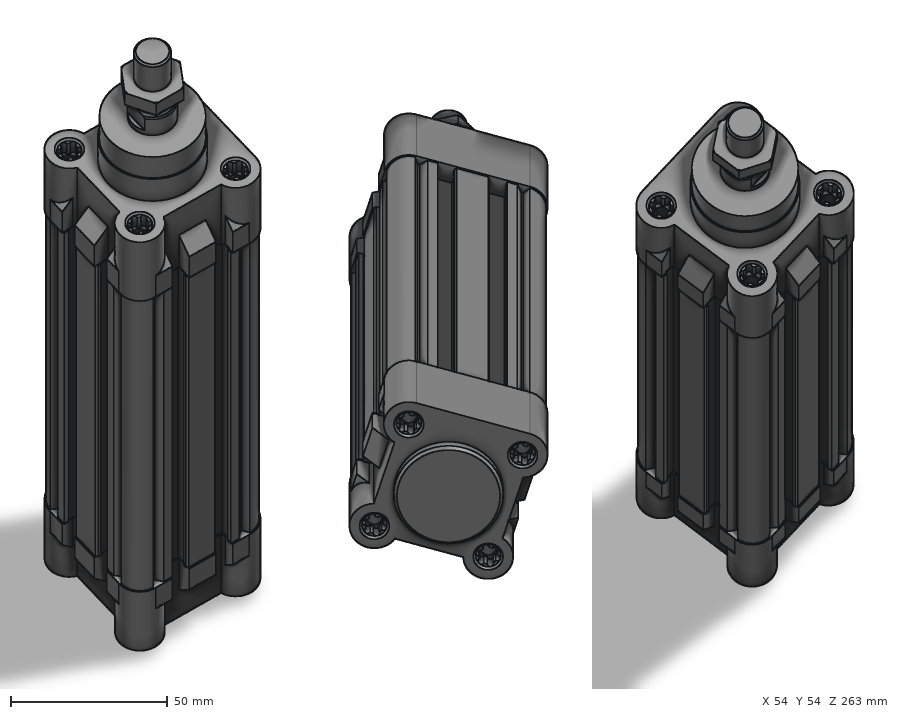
import cadquery as cq
import math


overall_length = 263.0
rear_collar_length = 4.0
mounting_face_distance = 205.0
cover_length = 29.5
rear_face_z = rear_collar_length
front_face_z = rear_face_z + mounting_face_distance
barrel_bottom_z = rear_face_z + cover_length
barrel_top_z = front_face_z - cover_length

cover_width = 54.0
half_cover = cover_width / 2
corner_pitch = 38.0
half_pitch = corner_pitch / 2
corner_radius = half_cover - half_pitch
recess_wall = 21.5
tab_length = 10.5
tab_bevel = half_cover - recess_wall
center_tab_half_width = 5.3
corner_tab_inner = 12.0
corner_tab_outer = 18.5

countersink_diameter = 9.5
countersink_depth = 0.75
socket_outer_diameter = 8.0
socket_core_diameter = 6.0
socket_lobe_diameter = 2.0
socket_lobe_count = 6
socket_depth = 6.0
thread_diameter = 4.92
thread_depth = 16.0
thread_point_angle = 118.0

collar_diameter = 35.0
collar_chamfer = 1.0
front_collar_length = 21.5
front_collar_wide_length = 11.0
front_collar_tip_diameter = 34.0

barrel_width = 53.0
half_barrel = barrel_width / 2
barrel_corner_radius = half_barrel - half_pitch
slot_opening_inner = 5.8
slot_opening_outer = 11.6
slot_lip_thickness = 1.7
slot_undercut = 0.6
rib_chamfer = 0.6
slot_floor = 21.0
corner_groove_inner = 15.0
corner_groove_outer = 19.2
corner_groove_floor_inner = 17.0
corner_groove_floor_outer = 17.7
corner_groove_floor = 24.2

rod_diameter = 16.0
rod_shoulder_height = 30.0
rod_flat_width = 13.0
rod_flat_length = 6.5
rod_shoulder_chamfer = 0.5
rod_thread_diameter = 12.0
rod_tip_diameter = 10.65
nut_width_across_flats = 19.0
nut_thickness = 6.0
nut_chamfer_diameter = 21.0
nut_chamfer_angle = 30.0
nut_height = 35.0

shoulder_z = front_face_z + rod_shoulder_height


def box(x_min, x_max, y_min, y_max, z_min, z_max):
    block = cq.Workplane("XY").box(x_max - x_min, y_max - y_min, z_max - z_min, centered=False)
    return block.translate((x_min, y_min, z_min))


def rod_between(diameter, z_min, z_max):
    return cq.Workplane("XY").workplane(offset=z_min).circle(diameter / 2).extrude(z_max - z_min)


def tab(x_min, x_max):
    """Tab on the -Y side, with a 45 degree bevel that runs out on the recessed wall."""
    profile = [
        (-half_pitch, 0),
        (-half_cover, 0),
        (-half_cover, tab_length),
        (-recess_wall, tab_length + tab_bevel),
        (-half_pitch, tab_length + tab_bevel),
    ]
    solid = cq.Workplane("YZ").polyline(profile).close().extrude(x_max - x_min)
    return solid.translate((x_min, 0, 0))


def screw_hole():
    """Countersunk six-lobed socket above a threaded hole with a conical bottom, top at Z = 0."""
    socket_radius = socket_outer_diameter / 2
    thread_radius = thread_diameter / 2
    point_depth = thread_radius / math.tan(math.radians(thread_point_angle / 2))
    profile = [
        (0, 0),
        (countersink_diameter / 2, 0),
        (socket_radius, -countersink_depth),
        (thread_radius, -countersink_depth),
        (thread_radius, -thread_depth),
        (0, -thread_depth - point_depth),
    ]
    hole = cq.Workplane("XZ").polyline(profile).close().revolve(360, (0, 0), (0, 1))

    socket_floor = cq.Workplane("XY").workplane(offset=-socket_depth)
    socket_height = socket_depth - countersink_depth
    core = socket_floor.circle(socket_core_diameter / 2).extrude(socket_height)
    lobe_position_radius = socket_radius - socket_lobe_diameter / 2
    lobe_centers = socket_floor.polarArray(lobe_position_radius, 0, 360, socket_lobe_count)
    lobes = lobe_centers.circle(socket_lobe_diameter / 2).extrude(socket_height)
    return hole.union(core).union(lobes)


def cover():
    """End cover standing on its barrel joint at Z = 0, with the mounting face on top."""
    body = box(-recess_wall, recess_wall, -recess_wall, recess_wall, 0, cover_length)
    body = body.union(box(-half_pitch, half_pitch, 0, half_cover, 0, cover_length))
    corners = cq.Workplane("XY").rect(corner_pitch, corner_pitch, forConstruction=True).vertices()
    body = body.union(corners.circle(corner_radius).extrude(cover_length))

    tab_spans = [
        (-corner_tab_outer, -corner_tab_inner),
        (-center_tab_half_width, center_tab_half_width),
        (corner_tab_inner, corner_tab_outer),
    ]
    for side_angle in (-90, 0, 90):
        for x_min, x_max in tab_spans:
            side_tab = tab(x_min, x_max).rotate((0, 0, 0), (0, 0, 1), side_angle)
            body = body.union(side_tab)

    hole = screw_hole()
    for x in (-half_pitch, half_pitch):
        for y in (-half_pitch, half_pitch):
            body = body.cut(hole.translate((x, y, cover_length)))
    return body


def barrel_prism(points):
    """Prism over the full barrel length with the given XY outline."""
    outline = cq.Workplane("XY").workplane(offset=barrel_bottom_z).polyline(points).close()
    return outline.extrude(barrel_top_z - barrel_bottom_z)


def barrel_side_grooves():
    """Two undercut slots and two tapered grooves along the -Y side of the barrel."""
    lip_bottom = half_barrel - slot_lip_thickness
    opening = box(slot_opening_inner, slot_opening_outer, -half_barrel, -slot_floor,
                  barrel_bottom_z, barrel_top_z)
    cavity = box(slot_opening_inner - slot_undercut, slot_opening_outer + slot_undercut,
                 -lip_bottom, -slot_floor, barrel_bottom_z, barrel_top_z)
    rib_chamfer_cut = barrel_prism([
        (slot_opening_inner, -half_barrel),
        (slot_opening_inner - rib_chamfer, -half_barrel),
        (slot_opening_inner, -half_barrel + rib_chamfer),
    ])
    corner_groove = barrel_prism([
        (corner_groove_inner, -half_barrel),
        (corner_groove_floor_inner, -corner_groove_floor),
        (corner_groove_floor_outer, -corner_groove_floor),
        (corner_groove_outer, -half_barrel),
    ])
    right_half = opening.union(cavity).union(rib_chamfer_cut).union(corner_groove)
    return right_half.union(right_half.mirror("YZ"))


def barrel():
    body = box(-half_barrel, half_barrel, -half_barrel, half_barrel, barrel_bottom_z, barrel_top_z)
    body = body.edges("|Z").fillet(barrel_corner_radius)
    grooves = barrel_side_grooves()
    for side_angle in (0, 90, 180, 270):
        body = body.cut(grooves.rotate((0, 0, 0), (0, 0, 1), side_angle))
    return body


def front_collar():
    wide_top_z = front_face_z + front_collar_wide_length
    wide = rod_between(collar_diameter, front_face_z, wide_top_z)
    tip = rod_between(front_collar_tip_diameter, wide_top_z, front_face_z + front_collar_length)
    return wide.union(tip)


def make_housing():
    front_cover = cover().translate((0, 0, barrel_top_z))
    rear_cover = cover().mirror("XY").translate((0, 0, barrel_bottom_z))
    rear_collar = rod_between(collar_diameter, 0, rear_face_z).faces("<Z").chamfer(collar_chamfer)
    body = barrel().union(front_cover).union(rear_cover).union(rear_collar).union(front_collar())
    return body.cut(rod_between(rod_diameter, barrel_top_z, overall_length))


def make_rod():
    """Rod seated through the front cover, with two wrench flats and a threaded end."""
    shank = rod_between(rod_diameter, barrel_top_z, shoulder_z)
    shank = shank.faces(">Z").chamfer(rod_shoulder_chamfer)
    flat_bottom_z = shoulder_z - rod_flat_length
    rod_radius = rod_diameter / 2
    for y_min, y_max in ((-rod_radius, -rod_flat_width / 2), (rod_flat_width / 2, rod_radius)):
        shank = shank.cut(box(-rod_radius, rod_radius, y_min, y_max, flat_bottom_z, shoulder_z))
    threaded_end = rod_between(rod_thread_diameter, shoulder_z, overall_length)
    threaded_end = threaded_end.faces(">Z").chamfer((rod_thread_diameter - rod_tip_diameter) / 2)
    return shank.union(threaded_end)


def make_nut():
    """Hexagon nut with two flats facing +X and -X and its upper corners turned to a cone."""
    across_corners = nut_width_across_flats / math.cos(math.radians(30))
    hexagon = cq.Workplane("XY").polygon(6, across_corners).extrude(nut_thickness)
    hexagon = hexagon.rotate((0, 0, 0), (0, 0, 1), 90)
    cone_top_radius = nut_chamfer_diameter / 2
    cone_foot_radius = cone_top_radius + nut_thickness / math.tan(math.radians(nut_chamfer_angle))
    cone_profile = [
        (0, 0),
        (cone_foot_radius, 0),
        (cone_top_radius, nut_thickness),
        (0, nut_thickness),
    ]
    cone = cq.Workplane("XZ").polyline(cone_profile).close().revolve(360, (0, 0), (0, 1))
    hexagon = hexagon.intersect(cone)
    hexagon = hexagon.translate((0, 0, front_face_z + nut_height))
    return hexagon.cut(rod_between(rod_thread_diameter, shoulder_z, overall_length))


housing = make_housing()
rod = make_rod()
nut = make_nut()

result = cq.Compound.makeCompound([housing.val(), rod.val(), nut.val()])